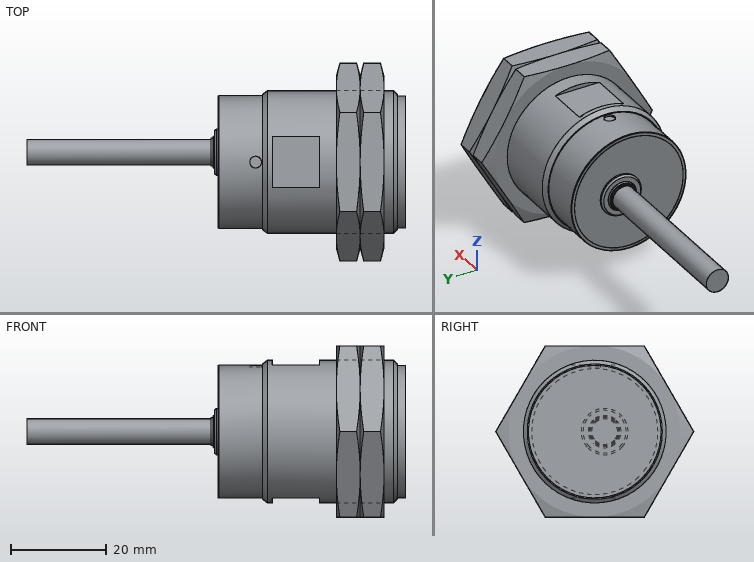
import cadquery as cq
import math

overall_length = 79.5

cable_diameter = 5.4
cable_offset = 2.1
grommet_diameter = 5.9
grommet_start = 38.6
grommet_flare_start = 39.0
grommet_flare = 0.5
collar_diameter = 9.8
collar_start = 39.35
collar_chamfer = 0.4

rear_diameter = 28.0
rear_start = 40.1
rear_lip_diameter = 27.8
rear_lip_length = 0.2
rear_recess_diameter = 26.5
rear_recess_depth = 0.1
barrel_diameter = 30.0
barrel_start = 49.45
barrel_end = 77.75
barrel_end_diameter = 28.4
barrel_chamfer = (barrel_diameter - barrel_end_diameter) / 2
barrel_rear_chamfer_length = 1.0
front_cap_diameter = 27.8

flat_start = 51.5
flat_length = 9.85
flat_spacing = rear_diameter

window_diameter = 2.5
window_depth = 0.4
window_x = 48.0

nut_across_flats = 36.0
nut_across_corners = nut_across_flats / math.cos(math.radians(30))
nut_thickness = 5.0
nut_count = 2
first_nut_x = 64.95
nut_chamfer_angle = 15.0


def cylinder_x(diameter, start, end, y=0.0):
    """Cylinder along +X between two X positions."""
    return cq.Workplane("YZ", origin=(start, y, 0)).circle(diameter / 2).extrude(end - start)


def make_cable_exit():
    """Cable, flared grommet and collar, overlapping the recess floor so they fuse to the housing."""
    floor = rear_start + rear_recess_depth
    cable = cylinder_x(cable_diameter, 0, floor, cable_offset)
    grommet = cylinder_x(grommet_diameter, grommet_start, floor, cable_offset)
    flare = cylinder_x(grommet_diameter + 2 * grommet_flare, grommet_flare_start, floor, cable_offset)
    flare = flare.faces("<X").chamfer(grommet_flare / 2)
    collar = cylinder_x(collar_diameter, collar_start, floor, cable_offset)
    collar = collar.faces("<X").chamfer(collar_chamfer)
    return cable.union(grommet).union(flare).union(collar)


def make_barrel():
    """Barrel tapering to the same diameter at both ends, with a longer taper at the rear."""
    return (
        cq.Workplane("XY")
        .moveTo(barrel_start, 0)
        .lineTo(barrel_start, barrel_end_diameter / 2)
        .lineTo(barrel_start + barrel_rear_chamfer_length, barrel_diameter / 2)
        .lineTo(barrel_end - barrel_chamfer, barrel_diameter / 2)
        .lineTo(barrel_end, barrel_end_diameter / 2)
        .lineTo(barrel_end, 0)
        .close()
        .revolve(360, (0, 0, 0), (1, 0, 0))
    )


def cut_wrench_flats(body):
    cutter_height = barrel_diameter - flat_spacing
    for side in (1, -1):
        center = (flat_start + flat_length / 2, 0, side * (flat_spacing + cutter_height) / 2)
        cutter = cq.Workplane("XY", origin=center).box(flat_length, barrel_diameter, cutter_height)
        body = body.cut(cutter)
    return body


def cut_window(body):
    floor_z = rear_diameter / 2 - window_depth
    window = cq.Workplane("XY", origin=(window_x, 0, floor_z)).circle(window_diameter / 2)
    return body.cut(window.extrude(2 * window_depth))


def make_sensor():
    rear = cylinder_x(rear_diameter, rear_start + rear_lip_length, barrel_end)
    rear = rear.union(cylinder_x(rear_lip_diameter, rear_start, barrel_end))
    recess = cylinder_x(rear_recess_diameter, rear_start, rear_start + rear_recess_depth)
    barrel = cut_wrench_flats(make_barrel())
    front_cap = cylinder_x(front_cap_diameter, barrel_end, overall_length)
    body = cut_window(rear.cut(recess)).union(barrel).union(front_cap)
    return body.union(make_cable_exit())


def make_nut(start):
    """Hexagonal nut with its corners along Y, chamfered on both faces by a cone."""
    hexagon = cq.Workplane("YZ", origin=(start, 0, 0)).polygon(6, nut_across_corners)
    nut = hexagon.extrude(nut_thickness)
    face_radius = nut_across_flats / 2
    corner_radius = nut_across_corners / 2
    chamfer_depth = (corner_radius - face_radius) * math.tan(math.radians(nut_chamfer_angle))
    end = start + nut_thickness
    envelope = (
        cq.Workplane("XY")
        .moveTo(start, 0)
        .lineTo(start, face_radius)
        .lineTo(start + chamfer_depth, corner_radius)
        .lineTo(end - chamfer_depth, corner_radius)
        .lineTo(end, face_radius)
        .lineTo(end, 0)
        .close()
        .revolve(360, (0, 0, 0), (1, 0, 0))
    )
    return nut.intersect(envelope).cut(cylinder_x(barrel_diameter, start, end))


sensor = make_sensor()
nuts = [make_nut(first_nut_x + index * nut_thickness) for index in range(nut_count)]

result = cq.Compound.makeCompound([sensor.solids().val(), *[nut.solids().val() for nut in nuts]])